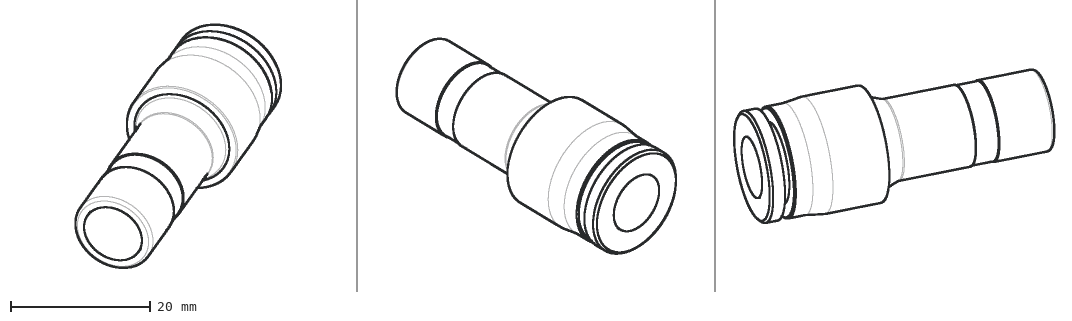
import cadquery as cq
import math


bore_diameter = 8.98
tube_diameter = 12.0
groove_diameter = 11.8
shoulder_diameter = 13.95
body_diameter = 17.2
collar_diameter = 16.4

groove_start = 8.5
groove_end = 12.1
shoulder_start = 23.05
body_start = 26.05
taper_start = 34.65
taper_end = 37.58
body_end = 40.4
flange_start = 41.8
overall_length = 44.0

tip_round = 0.5
shoulder_blend_radius = 0.7
shoulder_flare = 0.4
body_start_round = 0.18
body_end_chamfer = 0.2
neck_fillet = 0.25
flange_chamfer = 0.4

bore_radius = bore_diameter / 2
tube_radius = tube_diameter / 2
neck_radius = tube_radius
groove_radius = groove_diameter / 2
shoulder_radius = shoulder_diameter / 2
body_radius = body_diameter / 2
collar_radius = collar_diameter / 2

groove_depth = tube_radius - groove_radius

shoulder_end = body_start - shoulder_flare
shoulder_angle = math.atan2(shoulder_radius - tube_radius, shoulder_end - shoulder_start)
blend_reach = shoulder_blend_radius * math.tan(shoulder_angle / 2)
blend_end = (
    tube_radius + blend_reach * math.sin(shoulder_angle),
    shoulder_start + blend_reach * math.cos(shoulder_angle),
)


def add_tube(outline):
    """Rounded tip, plain tube and its shallow groove."""
    return (
        outline.moveTo(bore_radius, 0)
        .lineTo(tube_radius - tip_round, 0)
        .radiusArc((tube_radius, tip_round), -tip_round)
        .lineTo(tube_radius, groove_start)
        .lineTo(groove_radius, groove_start + groove_depth)
        .lineTo(groove_radius, groove_end - groove_depth)
        .lineTo(tube_radius, groove_end)
        .lineTo(tube_radius, shoulder_start - blend_reach)
    )


def add_shoulder(outline):
    """Cone widening from the tube, flaring along an arc into the body face."""
    return (
        outline.tangentArcPoint(blend_end, relative=False)
        .lineTo(shoulder_radius, shoulder_end)
        .tangentArcPoint((shoulder_radius + shoulder_flare, body_start), relative=False)
    )


def add_body(outline):
    """Body cylinder tapering to its reduced end, with its rims broken."""
    return (
        outline.lineTo(body_radius - body_start_round, body_start)
        .radiusArc((body_radius, body_start + body_start_round), -body_start_round)
        .lineTo(body_radius, taper_start)
        .lineTo(collar_radius, taper_end)
        .lineTo(collar_radius, body_end - body_end_chamfer)
        .lineTo(collar_radius - body_end_chamfer, body_end)
    )


def add_release_flange(outline):
    """Narrow neck filleted into the chamfered release flange."""
    return (
        outline.lineTo(neck_radius, body_end)
        .lineTo(neck_radius, flange_start - neck_fillet)
        .radiusArc((neck_radius + neck_fillet, flange_start), neck_fillet)
        .lineTo(collar_radius, flange_start)
        .lineTo(collar_radius, overall_length - flange_chamfer)
        .lineTo(collar_radius - flange_chamfer, overall_length)
        .lineTo(bore_radius, overall_length)
    )


half_section = cq.Workplane("XY")
for add_stretch in (add_tube, add_shoulder, add_body, add_release_flange):
    half_section = add_stretch(half_section)

result = half_section.close().revolve(360, (0, 0, 0), (0, 1, 0))